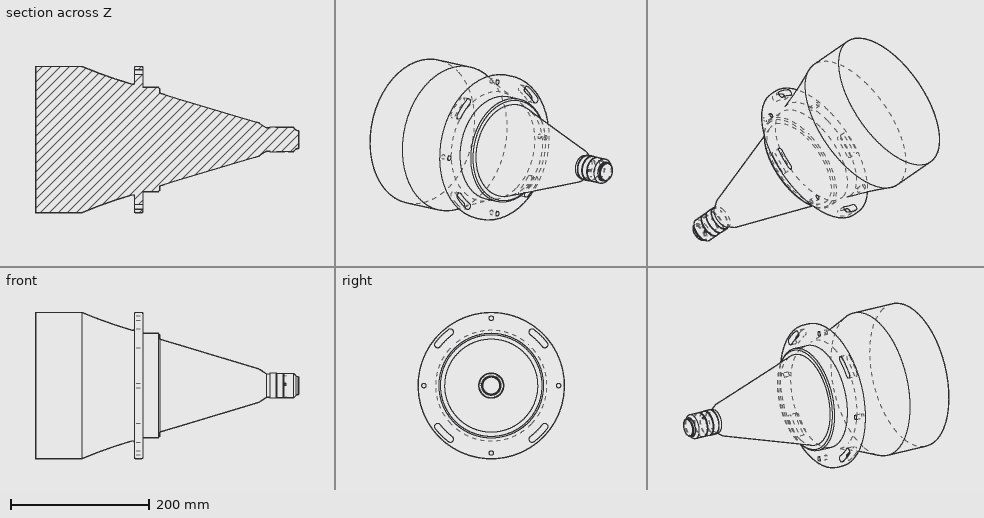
import cadquery as cq
import math


total_length = 380.5
drum_end = 67.0
waist_end = 139.3
flange_start = 142.7
flange_end = 155.3
collar_end = 179.5
cone_end = 322.7
shoulder_end = 333.8
land_start = 338.7
land_end = 348.0
stem_start = 349.0
stem_end = 376.8

drum_radius = 106.0
flange_radius = drum_radius
waist_radius = 80.3
collar_radius = 75.7
cone_start_radius = 67.5
cone_end_radius = 24.5
neck_radius = 17.0
land_radius = 18.3
stem_radius = 18.0
tip_radius = 13.5

waist_hollow = 1.0

flange_edge = 2.3
collar_edge = 2.3
waist_fillet = 2.0
stem_chamfer = 3.8
tip_edge = 1.0

ring_start = 357.8
ring_width = 1.0
ring_depth = 0.2

hole_circle_radius = 97.5
slot_count = 4
slot_width = 9.0
slot_sweep = 15.2
slot_first_angle = 45.0
pin_hole_count = 4
pin_hole_diameter = 6.5

set_hole_count = 3
set_hole_x = 360.8
set_hole_diameter = 3.0
set_hole_depth = 3.5
set_hole_first_angle = 53.5


def hollow_midpoint(start, end, hollow):
    """Middle point of an arc that sags by `hollow` below the chord, toward the axis."""
    (x0, r0), (x1, r1) = start, end
    chord = math.hypot(x1 - x0, r1 - r0)
    middle_x = (x0 + x1) / 2 + hollow * (r1 - r0) / chord
    middle_r = (r0 + r1) / 2 - hollow * (x1 - x0) / chord
    return middle_x, middle_r


def turned_body():
    drum_corner = (drum_end, drum_radius)
    waist_corner = (waist_end, waist_radius)
    cone_base = (collar_end, cone_start_radius)
    cone_tip = (cone_end, cone_end_radius)
    fillet_top = waist_radius + waist_fillet
    profile = (
        cq.Workplane("XZ")
        .moveTo(0, 0)
        .lineTo(0, drum_radius)
        .lineTo(*drum_corner)
        .threePointArc(hollow_midpoint(drum_corner, waist_corner, waist_hollow), waist_corner)
        .lineTo(flange_start - waist_fillet, waist_radius)
        .radiusArc((flange_start, fillet_top), -waist_fillet)
        .lineTo(flange_start, flange_radius - flange_edge)
        .radiusArc((flange_start + flange_edge, flange_radius), flange_edge)
        .lineTo(flange_end - flange_edge, flange_radius)
        .radiusArc((flange_end, flange_radius - flange_edge), flange_edge)
        .lineTo(flange_end, collar_radius)
        .lineTo(collar_end - collar_edge, collar_radius)
        .lineTo(collar_end, collar_radius - collar_edge)
        .lineTo(*cone_base)
        .lineTo(*cone_tip)
        .lineTo(shoulder_end, neck_radius)
        .lineTo(land_start, neck_radius)
        .lineTo(land_start, land_radius)
        .lineTo(land_end, land_radius)
        .lineTo(stem_start, stem_radius)
        .lineTo(stem_end - stem_chamfer, stem_radius)
        .lineTo(stem_end, stem_radius - stem_chamfer)
        .lineTo(stem_end, tip_radius)
        .lineTo(total_length - tip_edge, tip_radius)
        .lineTo(total_length, tip_radius - tip_edge)
        .lineTo(total_length, 0)
        .close()
    )
    return profile.revolve(360, (0, 0, 0), (1, 0, 0))


def stem_ring():
    ring = cq.Workplane("YZ", origin=(ring_start, 0, 0)).circle(stem_radius + ring_depth)
    return ring.circle(stem_radius - ring_depth).extrude(ring_width)


def flange_slot(angle):
    """Curved slot through the flange, centred on the +Y axis and then turned about X."""
    half_sweep = math.radians(slot_sweep / 2)
    half_width = slot_width / 2

    def at(radius, turn):
        return radius * math.cos(turn), radius * math.sin(turn)

    inner = hole_circle_radius - half_width
    outer = hole_circle_radius + half_width
    end_turn = half_sweep + half_width / hole_circle_radius
    slot = (
        cq.Workplane("YZ", origin=(flange_start, 0, 0))
        .moveTo(*at(inner, -half_sweep))
        .threePointArc(at(inner, 0), at(inner, half_sweep))
        .threePointArc(at(hole_circle_radius, end_turn), at(outer, half_sweep))
        .threePointArc(at(outer, 0), at(outer, -half_sweep))
        .threePointArc(at(hole_circle_radius, -end_turn), at(inner, -half_sweep))
        .close()
        .extrude(flange_end - flange_start)
    )
    return slot.rotate((0, 0, 0), (1, 0, 0), angle)


def pin_holes():
    return (
        cq.Workplane("YZ", origin=(flange_start, 0, 0))
        .polarArray(hole_circle_radius, 0, 360, pin_hole_count)
        .circle(pin_hole_diameter / 2)
        .extrude(flange_end - flange_start)
    )


def set_hole(angle):
    hole = (
        cq.Workplane("XZ", origin=(set_hole_x, stem_radius, 0))
        .circle(set_hole_diameter / 2)
        .extrude(set_hole_depth)
    )
    return hole.rotate((0, 0, 0), (1, 0, 0), angle)


result = turned_body().cut(pin_holes()).cut(stem_ring())
for i in range(slot_count):
    result = result.cut(flange_slot(slot_first_angle + i * 360 / slot_count))
for i in range(set_hole_count):
    result = result.cut(set_hole(set_hole_first_angle + i * 360 / set_hole_count))